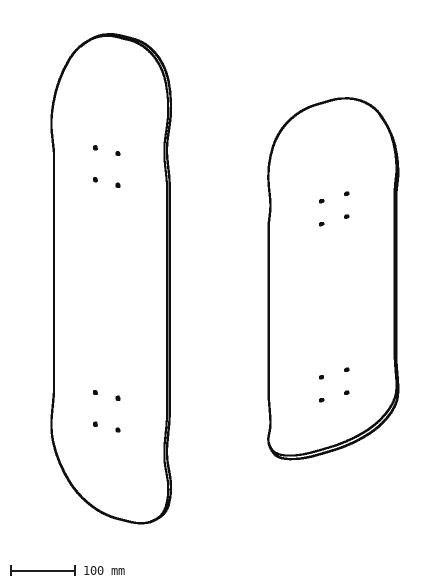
import cadquery as cq
import math


half_length = 403.0
half_width = 105.0
thickness = 8.0

tip_flat_half = 12.0
tip_radius = 85.5
flank_radius = 161.0

bend_radius = 100.0
kick_angle = math.radians(17.8)
kick_start = 242.0
wing_hinge = 43.5
wing_angle = math.radians(9.8)
wing_fade_start = 202.0

hole_diameter = 5.0
hole_x = 21.0
hole_heights = (178.0, 231.0)

trim_margin = 8.0
patch_edge = half_width + trim_margin
patch_top = half_length + trim_margin
cutter_reach = 81.0

kick_hinge = kick_start + bend_radius * math.tan(kick_angle / 2)
wing_bend_reach = bend_radius * math.tan(wing_angle / 2)



def tilt_share(z):
    """Share of the full wing tilt that is left at height z; it is gone at the kick hinge."""
    return min(1.0, (kick_hinge - z) / (kick_hinge - wing_fade_start))


def wing_lift(x):
    """Y of the fully tilted wing."""
    return (x - wing_hinge) * math.tan(wing_angle)


def wing_point(x, z):
    return cq.Vector(x, wing_lift(x) * tilt_share(z), z)


def kick_point(x, z):
    return cq.Vector(x, (z - kick_hinge) * math.tan(kick_angle), z)


def fade_angle(x):
    """Slope, along Z, of the wing where its tilt fades out."""
    return math.atan(wing_lift(x) / (kick_hinge - wing_fade_start))


def fade_bend_reach(x):
    """Half length of the bend between the evenly tilted wing and the fading wing."""
    return bend_radius * math.tan(fade_angle(x) / 2)


def kick_bend_reach(x):
    """Distance from the kick hinge to either end of the kick bend."""
    return bend_radius * math.tan((kick_angle + fade_angle(x)) / 2)


def kick_bend_start(x):
    return wing_point(x, kick_hinge - kick_bend_reach(x) * math.cos(fade_angle(x)))


def kick_bend_end(x):
    return kick_point(x, kick_hinge + kick_bend_reach(x) * math.cos(kick_angle))



def mirror_x(point):
    return cq.Vector(-point.x, point.y, point.z)


def mirror_z(point):
    return cq.Vector(point.x, point.y, -point.z)


def line(start, end):
    return cq.Edge.makeLine(start, end)


def arc(start, corner, end):
    """Arc from start to end, tangent to the equally long lines that meet at the corner."""
    chord_middle = (start + end) * 0.5
    to_corner = corner - chord_middle
    half_chord = (end - start).Length / 2
    half_turn = math.atan(to_corner.Length / half_chord)
    sagitta = half_chord * math.tan(half_turn / 2)
    return cq.Edge.makeThreePointArc(start, chord_middle + to_corner.normalized() * sagitta, end)


def slab(face):
    """Solid over one patch of the underside."""
    return cq.Solid.extrudeLinear(face, cq.Vector(0, thickness, 0))


def ruled(first, second):
    return slab(cq.Face.makeRuledSurface(first, second))


def polygon(*points):
    return slab(cq.Face.makeFromWires(cq.Wire.makePolygon(points, close=True)))



fade_low = wing_fade_start - fade_bend_reach(wing_hinge + wing_bend_reach)
fade_high = wing_fade_start + fade_bend_reach(wing_hinge + wing_bend_reach)


def inner_point(z):
    """Where the bend between centre and wing starts."""
    return cq.Vector(wing_hinge - wing_bend_reach * tilt_share(z), 0, z)


def outer_x(z):
    """X where the bend between centre and wing ends."""
    return wing_hinge + wing_bend_reach * tilt_share(z)


def outer_point(z):
    return wing_point(outer_x(z), z)


def wing_bend(z):
    """Arc across the bend between centre and wing."""
    return arc(inner_point(z), cq.Vector(wing_hinge, 0, z), outer_point(z))


inner_kick = inner_point(kick_start)
outer_kick = kick_bend_start(outer_x(kick_start))
bend_tip = kick_bend_end(wing_hinge)
hinge_corner = cq.Vector(wing_hinge, 0, kick_hinge)
inner_kick_arc = arc(inner_kick, hinge_corner, bend_tip)
outer_kick_arc = arc(outer_kick, hinge_corner, bend_tip)

edge_fade_low = wing_point(patch_edge, wing_fade_start - fade_bend_reach(patch_edge))
edge_fade_corner = wing_point(patch_edge, wing_fade_start)
edge_fade_high = wing_point(patch_edge, wing_fade_start + fade_bend_reach(patch_edge))
edge_kick = kick_bend_start(patch_edge)
edge_kick_corner = cq.Vector(patch_edge, 0, kick_hinge)
edge_bend_end = kick_bend_end(patch_edge)


def centre_panel():
    """Flat strip that carries the trucks."""
    upper_right = [inner_point(fade_low), inner_point(fade_high), inner_kick]
    right = [mirror_z(p) for p in reversed(upper_right)] + upper_right
    left = [mirror_x(p) for p in reversed(right)]
    return polygon(*right, *left)


def kick_end():
    """Kick plate and the bend that leads to it from the flat centre."""
    right = [bend_tip, edge_bend_end, kick_point(patch_edge, patch_top)]
    left = [mirror_x(p) for p in reversed(right)]
    left_kick_arc = arc(mirror_x(inner_kick), mirror_x(hinge_corner), mirror_x(bend_tip))
    return [polygon(*right, *left), ruled(left_kick_arc, inner_kick_arc)]


def wing_middle():
    """Evenly tilted wing with its bend, over the full middle of the deck."""
    inner_low = inner_point(fade_low)
    outer_low = outer_point(fade_low)
    lower_bend = arc(mirror_z(inner_low), cq.Vector(wing_hinge, 0, -fade_low), mirror_z(outer_low))
    return [
        ruled(lower_bend, wing_bend(fade_low)),
        polygon(mirror_z(outer_low), mirror_z(edge_fade_low), edge_fade_low, outer_low),
    ]


def wing_end():
    """Wing whose tilt fades out, up to the kick."""
    kick_strip = cq.Face.makeNSidedSurface(
        [line(inner_kick, outer_kick), outer_kick_arc, inner_kick_arc], []
    )
    fade_line = line(outer_point(fade_low), outer_point(fade_high))
    return [
        ruled(wing_bend(fade_low), wing_bend(fade_high)),
        ruled(wing_bend(fade_high), line(inner_kick, outer_kick)),
        slab(kick_strip),
        ruled(fade_line, arc(edge_fade_low, edge_fade_corner, edge_fade_high)),
        ruled(line(outer_point(fade_high), outer_kick), line(edge_fade_high, edge_kick)),
        ruled(outer_kick_arc, arc(edge_kick, edge_kick_corner, edge_bend_end)),
    ]


def bent_sheet():
    """Whole bent deck before it is trimmed to its outline."""
    upper_wing = wing_end()
    upper_kick = kick_end()
    right_wing = wing_middle() + upper_wing + [patch.mirror("XY") for patch in upper_wing]
    left_wing = [patch.mirror("YZ") for patch in right_wing]
    kicks = upper_kick + [patch.mirror("XY") for patch in upper_kick]
    return centre_panel().fuse(*right_wing, *left_wing, *kicks)



def outline_block():
    """Block with the deck outline seen along Y: straight sides, flank arcs, corner arcs, flat tips."""
    corner_z = half_length - tip_radius
    flank_x = half_width - flank_radius
    offset_x = tip_flat_half - flank_x
    offset_z = math.sqrt((flank_radius - tip_radius) ** 2 - offset_x ** 2)
    flank_z = corner_z - offset_z
    join_angle = math.atan2(offset_z, offset_x)
    corner_mid_angle = (join_angle + math.pi / 2) / 2

    def flank(angle):
        return (flank_x + flank_radius * math.cos(angle), flank_z + flank_radius * math.sin(angle))

    def corner(angle):
        return (tip_flat_half + tip_radius * math.cos(angle), corner_z + tip_radius * math.sin(angle))

    start = (half_width, flank_z)
    flank_mid = flank(join_angle / 2)
    join = flank(join_angle)
    corner_mid = corner(corner_mid_angle)
    tip = (tip_flat_half, half_length)

    def turned(point, x_sign, z_sign):
        return (x_sign * point[0], z_sign * point[1])

    sketch = cq.Workplane("XZ").moveTo(half_width, -flank_z)
    for z_sign in (1, -1):
        sketch = (
            sketch.lineTo(*turned(start, z_sign, z_sign))
            .threePointArc(turned(flank_mid, z_sign, z_sign), turned(join, z_sign, z_sign))
            .threePointArc(turned(corner_mid, z_sign, z_sign), turned(tip, z_sign, z_sign))
            .lineTo(*turned(tip, -z_sign, z_sign))
            .threePointArc(turned(corner_mid, -z_sign, z_sign), turned(join, -z_sign, z_sign))
            .threePointArc(turned(flank_mid, -z_sign, z_sign), turned(start, -z_sign, z_sign))
        )
    return sketch.close().extrude(cutter_reach, both=True)


def bolt_holes():
    points = [
        (x_sign * hole_x, z_sign * height)
        for x_sign in (-1, 1)
        for z_sign in (-1, 1)
        for height in hole_heights
    ]
    return (
        cq.Workplane("XZ")
        .pushPoints(points)
        .circle(hole_diameter / 2)
        .extrude(cutter_reach, both=True)
    )


result = cq.Workplane(bent_sheet()).intersect(outline_block()).cut(bolt_holes()).solids()